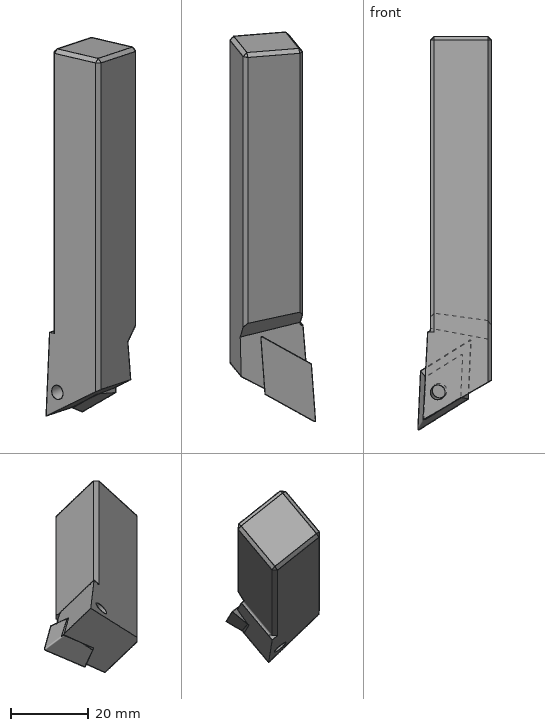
import cadquery as cq
import math

shank_side = 15.8
shank_top = 101.6
shank_chamfer = 1.0

head_top = 25.3
head_face_foot = -10.0
side_clearance = 3.0
end_cut_height = 12.8
end_cut_angle = 30.0
step_fillet = 0.6

rake_along_x = math.tan(math.radians(3.6))
rake_along_z = math.tan(math.radians(6.2))

insert_side = 15.5
insert_angle = 55.0
insert_thickness = 5.3
insert_relief = 18.0
insert_nose_radius = 0.3
cutting_corner = (-11.2, 7.9, -0.24)

insert_stand_out = 0.3
notch_corner_z = 26.2
notch_wall_angle = 50.0
notch_skew = 10.6

hole_diameter = 3.8
hole_depth = 3.6
hole_lean = 7.5
hole_x = -6.0
hole_z = 9.7

half_side = shank_side / 2
reach = 2 * shank_side
corner_x, corner_y, corner_z = cutting_corner


def insert_top_y(x, z):
    """Y of the top plane of the insert at a given X and Z."""
    return corner_y - rake_along_x * (x - corner_x) - rake_along_z * (z - corner_z)


insert_plane = cq.Plane(
    origin=cutting_corner,
    xDir=(1, -rake_along_x, 0),
    normal=(-rake_along_x, -1, -rake_along_z),
)


def rhombus_point(angle, length=insert_side):
    return (length * math.cos(math.radians(angle)), length * math.sin(math.radians(angle)))


side_edge_end = rhombus_point(90 - side_clearance)
end_edge_end = rhombus_point(90 - side_clearance - insert_angle)
far_corner = (side_edge_end[0] + end_edge_end[0], side_edge_end[1] + end_edge_end[1])


def make_insert():
    body = (
        cq.Workplane(insert_plane)
        .polyline([(0, 0), end_edge_end, far_corner, side_edge_end])
        .close()
        .extrude(insert_thickness, taper=insert_relief)
    )
    for corner in [(0, 0), far_corner]:
        flank_middle = insert_plane.toWorldCoords((*corner, insert_thickness / 2))
        body = body.edges(cq.selectors.NearestToPointSelector(flank_middle)).fillet(insert_nose_radius)
    return body


def make_shank():
    return (
        cq.Workplane("XY")
        .rect(shank_side, shank_side)
        .extrude(shank_top)
        .edges("|Z or >Z")
        .chamfer(shank_chamfer)
    )


def make_head():
    head_face_top = head_face_foot + head_top * math.tan(math.radians(side_clearance))
    return (
        cq.Workplane("XZ", origin=(0, half_side, 0))
        .polyline([(head_face_foot, 0), (0, 0), (0, head_top), (head_face_top, head_top)])
        .close()
        .extrude(shank_side)
    )


def make_end_cut():
    drop = reach * math.tan(math.radians(end_cut_angle))
    return (
        cq.Workplane("XZ", origin=(0, half_side, 0))
        .moveTo(half_side, end_cut_height)
        .line(-reach, -drop)
        .line(reach, 0)
        .close()
        .extrude(shank_side)
    )


def make_notch():
    """Skewed prism between the notch floor and the notch wall."""
    fall = math.tan(math.radians(notch_skew))
    start_x = -shank_side
    start_z = notch_corner_z + fall * half_side
    end_z = start_z - fall * reach

    def floor_y(x, z):
        return insert_top_y(x, z) - insert_stand_out

    start_y = floor_y(start_x, start_z)
    wall_run = shank_side
    wall_rise = wall_run * math.tan(math.radians(notch_wall_angle))
    section = cq.Wire.makePolygon(
        [
            cq.Vector(start_x, start_y, start_z),
            cq.Vector(start_x, floor_y(start_x, -reach), -reach),
            cq.Vector(start_x, start_y + wall_run, -reach),
            cq.Vector(start_x, start_y + wall_run, start_z + wall_rise),
        ],
        close=True,
    )
    sweep = cq.Vector(reach, floor_y(start_x + reach, end_z) - start_y, end_z - start_z)
    return cq.Workplane(cq.Solid.extrudeLinear(section, [], sweep))


def make_hole():
    """Blind hole that starts outside the front of the head and leans up and towards +X."""
    slope = math.tan(math.radians(hole_lean))
    axis = cq.Vector(slope, 1, slope)
    front = cq.Vector(hole_x, -half_side, hole_z)
    start = front - axis.normalized() * hole_depth
    return cq.Workplane(cq.Solid.makeCylinder(hole_diameter / 2, 2 * hole_depth, start, axis))


def make_holder(insert):
    blank = make_shank().union(make_head())
    step_corner = cq.selectors.NearestToPointSelector((-half_side, 0, head_top))
    return (
        blank.edges(step_corner)
        .fillet(step_fillet)
        .cut(make_end_cut())
        .cut(make_notch())
        .cut(make_hole())
        .cut(insert)
    )


insert = make_insert()
holder = make_holder(insert)

result = cq.Compound.makeCompound([holder.val(), insert.val()])